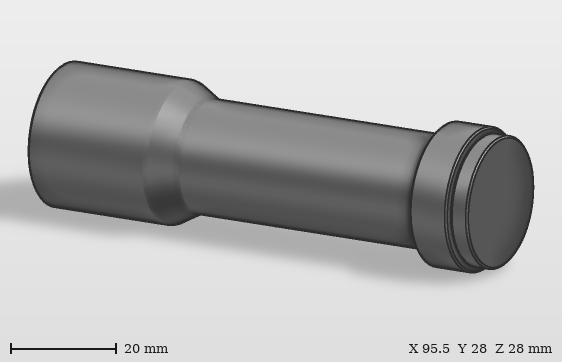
import cadquery as cq

length = 95.5
head_radius = 13.99
shaft_radius = 11.1
groove_radius = 12.3
end_radius = 12.8

head_length = 25.6
cone_length = 5.35
collar_length = 8.1
groove_width = 0.6
end_length = 3.3

edge_chamfer = 0.4
cone_blend_radius = 1.9

x_head = -length / 2
x_cone_start = x_head + head_length
x_cone_end = x_cone_start + cone_length
x_end = length / 2
x_end_disc = x_end - end_length
x_collar_end = x_end_disc - groove_width
x_collar_start = x_collar_end - collar_length


def disc(x_start, x_stop, radius):
    """Cylinder about the X axis between two stations."""
    return cq.Workplane("YZ", origin=(x_start, 0, 0)).circle(radius).extrude(x_stop - x_start)


def tapered_body():
    """Head, cone and shaft, with the head face chamfered and the cone blended at both ends."""
    profile = (
        cq.Workplane("XY")
        .moveTo(x_head, 0)
        .lineTo(x_head, head_radius - edge_chamfer)
        .lineTo(x_head + edge_chamfer, head_radius)
        .lineTo(x_cone_start, head_radius)
        .lineTo(x_cone_end, shaft_radius)
        .lineTo(x_collar_start, shaft_radius)
        .lineTo(x_collar_start, 0)
        .close()
    )
    body = profile.revolve(360, (0, 0, 0), (1, 0, 0))
    selection_margin = 1.0
    cone_ends = cq.selectors.BoxSelector(
        (x_cone_start - selection_margin, -head_radius, -head_radius),
        (x_cone_end + selection_margin, head_radius, head_radius),
    )
    return body.edges("%CIRCLE").edges(cone_ends).fillet(cone_blend_radius)


collar = disc(x_collar_start, x_collar_end, head_radius).edges("%CIRCLE").chamfer(edge_chamfer)
groove_neck = disc(x_collar_end, x_end_disc, groove_radius)
end_disc = disc(x_end_disc, x_end, end_radius).faces(">X").edges().chamfer(edge_chamfer)

result = tapered_body().union(collar).union(groove_neck).union(end_disc)